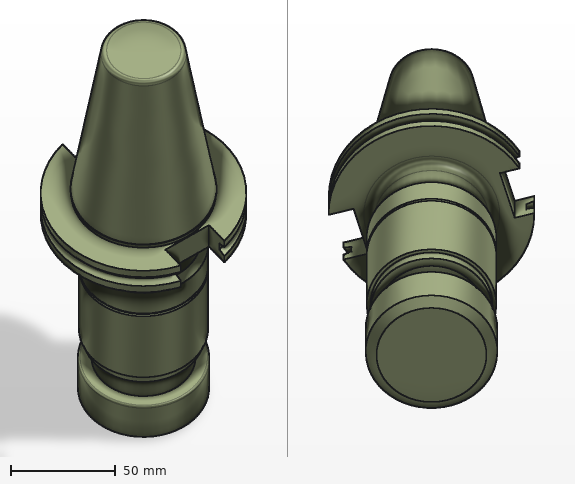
import cadquery as cq
import math


gauge_diameter = 69.85
taper_ratio = 7 / 24
taper_length = 101.75
taper_tip_fillet = 2.7
relief_diameter = 69.4
relief_height = 2.5

flange_diameter = 98.425
flange_top = -3.18
flange_bottom = -19.05
flange_groove_center = -11.13
flange_groove_root_diameter = 90.8
flange_groove_mouth_width = 6.6
flange_groove_root_width = 4.2
flange_groove_mouth_half = flange_groove_mouth_width / 2
flange_groove_root_half = flange_groove_root_width / 2

slot_width = 25.9
left_slot_distance = 37.7
right_slot_distance = 35.1
slot_overrun = 1.0

neck_diameter = 55.0
neck_fillet = 5.0

body_diameter = 62.0
body_chamfer_bottom = -40.9
body_groove_top = -56.2
body_groove_width = 1.9
body_groove_diameter = 59.4
body_bottom = -103.0
step_diameter = 58.4
step_bottom = -108.45
shank_diameter = 49.99

nut_diameter = 63.0
total_length = 251.2
nut_bottom = taper_length - total_length
nut_height = 25.5
nut_top_fillet = 1.0
nut_bottom_chamfer_height = 3.0
nut_bottom_chamfer_width = 5.2


def make_body():
    """Revolve the half outline, traced from the taper tip down to the nut."""
    tip_radius = (gauge_diameter - taper_ratio * taper_length) / 2
    relief_top = flange_top + relief_height
    taper_base_radius = (gauge_diameter - taper_ratio * relief_top) / 2
    neck_radius = neck_diameter / 2
    body_radius = body_diameter / 2
    groove_radius = body_groove_diameter / 2
    step_radius = step_diameter / 2
    shank_radius = shank_diameter / 2
    nut_radius = nut_diameter / 2
    nut_top = nut_bottom + nut_height
    neck_bottom = body_chamfer_bottom + body_radius - neck_radius
    body_groove_bottom = body_groove_top - body_groove_width
    arc_middle_share = 1 - math.sqrt(0.5)
    neck_fillet_offset = neck_fillet * arc_middle_share
    nut_fillet_offset = nut_top_fillet * arc_middle_share

    outline = (
        cq.Workplane("XZ")
        .moveTo(0, taper_length)
        .lineTo(tip_radius, taper_length)
        .lineTo(taper_base_radius, relief_top)
        .lineTo(relief_diameter / 2, relief_top)
        .lineTo(relief_diameter / 2, flange_top)
        .lineTo(flange_diameter / 2, flange_top)
        .lineTo(flange_diameter / 2, flange_groove_center + flange_groove_mouth_half)
        .lineTo(flange_groove_root_diameter / 2, flange_groove_center + flange_groove_root_half)
        .lineTo(flange_groove_root_diameter / 2, flange_groove_center - flange_groove_root_half)
        .lineTo(flange_diameter / 2, flange_groove_center - flange_groove_mouth_half)
        .lineTo(flange_diameter / 2, flange_bottom)
        .lineTo(neck_radius + neck_fillet, flange_bottom)
        .threePointArc(
            (neck_radius + neck_fillet_offset, flange_bottom - neck_fillet_offset),
            (neck_radius, flange_bottom - neck_fillet),
        )
        .lineTo(neck_radius, neck_bottom)
        .lineTo(body_radius, body_chamfer_bottom)
        .lineTo(body_radius, body_groove_top)
        .lineTo(groove_radius, body_groove_top - (body_radius - groove_radius))
        .lineTo(groove_radius, body_groove_bottom)
        .lineTo(body_radius, body_groove_bottom)
        .lineTo(body_radius, body_bottom)
        .lineTo(step_radius, body_bottom)
        .lineTo(step_radius, step_bottom)
        .lineTo(shank_radius, step_bottom)
        .lineTo(shank_radius, nut_top)
        .lineTo(nut_radius - nut_top_fillet, nut_top)
        .threePointArc(
            (nut_radius - nut_fillet_offset, nut_top - nut_fillet_offset),
            (nut_radius, nut_top - nut_top_fillet),
        )
        .lineTo(nut_radius, nut_bottom + nut_bottom_chamfer_height)
        .lineTo(nut_radius - nut_bottom_chamfer_width, nut_bottom)
        .lineTo(0, nut_bottom)
        .close()
    )
    return outline.revolve(360, (0, 0), (0, 1))


def round_taper_tip(body):
    """Round the rim of the small end of the taper."""
    return body.faces(">Z").edges().fillet(taper_tip_fillet)


def make_drive_slot(side, floor_distance):
    """Cutter for a slot open outward along X; side is -1 or +1."""
    outer_distance = flange_diameter / 2 + slot_overrun
    length = outer_distance - floor_distance
    return (
        cq.Workplane("XY")
        .workplane(offset=flange_bottom)
        .center(side * (floor_distance + length / 2), 0)
        .rect(length, slot_width)
        .extrude(flange_top - flange_bottom)
    )


result = round_taper_tip(make_body())
result = result.cut(make_drive_slot(-1, left_slot_distance))
result = result.cut(make_drive_slot(1, right_slot_distance))